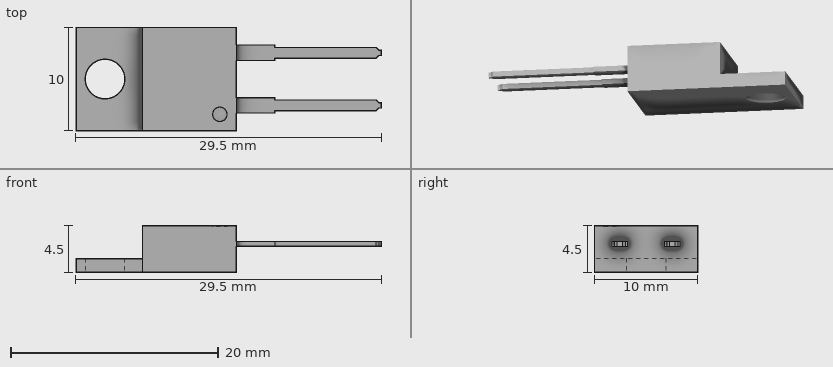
import cadquery as cq

total_length = 29.5
package_width = 10.0

tab_length = 6.4
tab_thickness = 1.33
tab_hole_diameter = 3.8
tab_hole_x = 2.8

housing_length = 9.1
housing_height = 4.5
housing_end_x = tab_length + housing_length

marker_diameter = 1.4
marker_depth = 0.1
marker_inset = 1.6

lead_pitch = 5.07
lead_thickness = 0.5
lead_bottom_z = 2.5
lead_length = total_length - housing_end_x
shoulder_length = 3.72
shoulder_width = 1.5
shank_width = 1.05
tip_width = 0.53
tip_taper_length = 0.27
tip_length = 0.5


def make_tab():
    """Flat mounting plate with a through hole."""
    plate = cq.Workplane("XY").box(
        tab_length, package_width, tab_thickness, centered=(False, True, False)
    )
    hole = cq.Workplane("XY").center(tab_hole_x, 0).circle(tab_hole_diameter / 2).extrude(tab_thickness)
    return plate.cut(hole)


def make_housing():
    """Rectangular block with a shallow round marker in its top."""
    block = (
        cq.Workplane("XY")
        .box(housing_length, package_width, housing_height, centered=(False, True, False))
        .translate((tab_length, 0, 0))
    )
    marker = (
        cq.Workplane("XY", origin=(0, 0, housing_height))
        .center(housing_end_x - marker_inset, marker_inset - package_width / 2)
        .circle(marker_diameter / 2)
        .extrude(-marker_depth)
    )
    return block.cut(marker)


def make_lead(center_y):
    """Flat lead: wide shoulder, narrower shank and tapered, blunt tip."""
    shank_end = lead_length - tip_length
    upper_edge = [
        (0, shoulder_width / 2),
        (shoulder_length, shoulder_width / 2),
        (shoulder_length, shank_width / 2),
        (shank_end, shank_width / 2),
        (shank_end + tip_taper_length, tip_width / 2),
        (lead_length, tip_width / 2),
    ]
    lower_edge = [(x, -y) for x, y in reversed(upper_edge)]
    return (
        cq.Workplane("XY", origin=(housing_end_x, center_y, lead_bottom_z))
        .polyline(upper_edge + lower_edge)
        .close()
        .extrude(lead_thickness)
    )


tab = make_tab()
housing = make_housing()
leads = [make_lead(side * lead_pitch / 2) for side in (-1, 1)]

result = cq.Compound.makeCompound([tab.val(), housing.val(), *[lead.val() for lead in leads]])